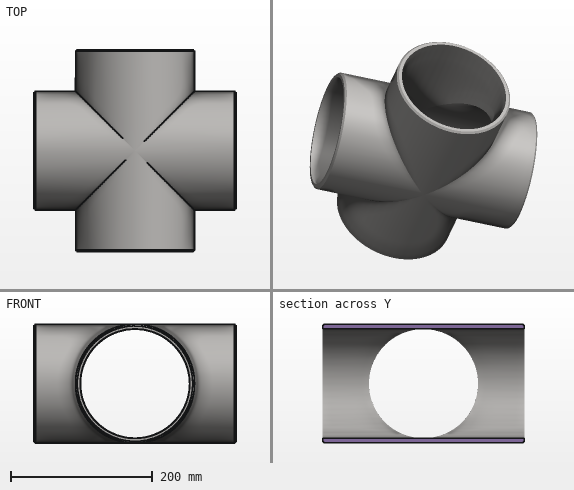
import cadquery as cq

LENGTH = 285.5
OUTER_DIAMETER = 168.2
BORE_DIAMETER = 154.2
BEVEL_LENGTH = 2.5
BEVEL_DEPTH = 2.5


def bevelled_bar(plane):
    """Solid bar of the outer diameter with both ends bevelled."""
    bar = cq.Workplane(plane).circle(OUTER_DIAMETER / 2).extrude(LENGTH / 2, both=True)
    axis = "X" if plane == "YZ" else "Y"
    return bar.faces(f"<{axis} or >{axis}").chamfer(BEVEL_LENGTH, BEVEL_DEPTH)


def bore(plane):
    """Cylinder that hollows one straight run from end to end."""
    return cq.Workplane(plane).circle(BORE_DIAMETER / 2).extrude(LENGTH / 2, both=True)


outer_cross = bevelled_bar("YZ").union(bevelled_bar("XZ"))
inner_cross = bore("YZ").union(bore("XZ"))
result = outer_cross.cut(inner_cross)